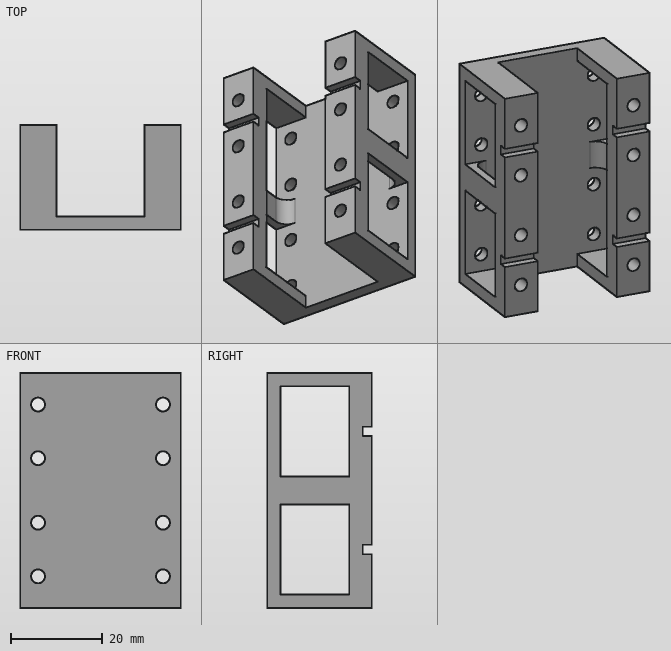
import cadquery as cq

width = 35.25
depth = 23.0
height = 51.6

base_thickness = 3.0
wall_thickness = 8.0

window_border = 3.0
window_height = 19.7
window_depth = 15.0
window_offset = height / 2 - window_border - window_height / 2

notch_size = 2.0

hole_diameter = 3.0
hole_spacing_x = 27.4
hole_spacing_z = 11.75

crossbar_thickness = 1.95
recess_corner_radius = 3.0

window_levels = (-window_offset, window_offset)


def block(size_x, y_start, size_y, size_z, level=0.0):
    """Box centred on X and on the given Z level, starting at y_start."""
    return (
        cq.Workplane("XY")
        .box(size_x, size_y, size_z, centered=(True, False, True))
        .translate((0, y_start, level))
    )


def hole_pair_rows(level):
    """Four holes placed symmetrically around one window level."""
    return (
        cq.Workplane("XZ", origin=(0, 0, level))
        .rect(hole_spacing_x, hole_spacing_z, forConstruction=True)
        .vertices()
        .circle(hole_diameter / 2)
        .extrude(-depth)
    )


channel_width = width - 2 * wall_thickness
body = block(width, 0, depth, height)
body = body.cut(block(channel_width, base_thickness, depth - base_thickness, height))

for level in window_levels:
    body = body.cut(block(width, base_thickness, window_depth, window_height, level))
    body = body.cut(block(width, depth - notch_size, notch_size, notch_size, level))
    body = body.cut(hole_pair_rows(level))

crossbar_height = 2 * window_offset - window_height
recess = block(width - 2 * crossbar_thickness, base_thickness, window_depth, crossbar_height)
body = body.cut(recess.edges("|Z").fillet(recess_corner_radius))

result = body